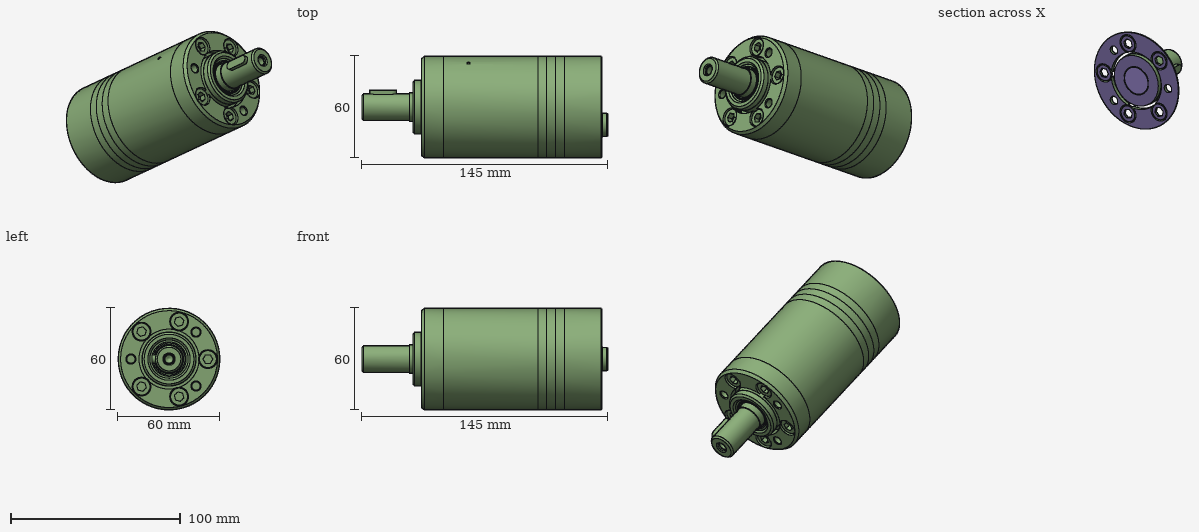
import cadquery as cq
import math


shaft_tip = 0.0
shaft_step_x = 28.0
collar_x = 30.0
face_x = 35.0
housing_x = 48.2
plates_x = 103.7
plate_thickness = 5.2
plate_count = 3
end_cover_x = plates_x + plate_count * plate_thickness
end_face_x = 141.4
total_length = 145.0

casing_dia = 60.0
casing_radius = casing_dia / 2
front_chamfer_length = 1.9
front_chamfer_height = 1.5
rear_chamfer = 0.6

collar_radius = 16.0
collar_chamfer_length = 1.0
collar_chamfer_height = 1.3
neck_radius = 15.8
neck_length = 0.3
groove_radius = 17.7
groove_depth = 5.0

seal_mouth_dia = 25.0
seal_seat_dia = 22.6
seal_mouth_depth = 0.9
seal_seat_depth = 1.2
seal_lip_dia = 20.3
seal_lip_depth = 1.7
dust_lip_dia = 18.9
dust_lip_depth = 2.2
shaft_bore_dia = 17.3

shaft_dia = 16.0
shaft_seal_dia = 17.0
shaft_chamfer = 1.0
key_start = 4.5
key_length = 16.0
key_width = 5.0
key_top = 10.0
key_height = 5.0
centre_mouth_dia = 7.3
centre_relief_dia = 6.0
centre_dia = 5.0
centre_relief_depth = 1.7
centre_depth = 11.6
centre_point_depth = 1.5

screw_angles = (-135, -75, 0, 75, 135)
screw_pitch_radius = 22.9
counterbore_dia = 11.0
counterbore_depth = 6.0
head_dia = 10.0
head_recess = 1.0
socket_across_corners = 5.8
socket_depth = 3.8

mount_angles = (-45, 45, 180)
mount_pitch_radius = 22.5
mount_dia = 5.0
mount_mouth_dia = 6.0

pin_hole_dia = 2.0
pin_hole_x = 62.8
pin_hole_tilt = 60
pin_hole_depth = 2.9

plug_y = -10.5
plug_dia = 13.8
plug_base_dia = 15.0
plug_base_length = 0.5
plug_tip_dia = 13.0
plug_tip_length = 0.9


def turned(points):
    """Solid of revolution about X from (x, radius) points."""
    return cq.Workplane("XY").polyline(points).close().revolve(360, (0, 0, 0), (1, 0, 0))


def rod(dia, start, end):
    """Plain cylinder on the X axis."""
    return cq.Workplane("YZ").workplane(offset=start).circle(dia / 2).extrude(end - start)


def around(shape, pitch_radius, angles):
    """Copies of a shape moved out from the X axis, at angles from -Y toward +Z."""
    moved = shape.translate((0, -pitch_radius, 0))
    return [moved.rotate((0, 0, 0), (1, 0, 0), -angle) for angle in angles]


def make_shaft():
    tip_radius = shaft_dia / 2 - shaft_chamfer
    shaft = turned([
        (shaft_tip, 0),
        (shaft_tip, tip_radius),
        (shaft_tip + shaft_chamfer, shaft_dia / 2),
        (shaft_step_x, shaft_dia / 2),
        (shaft_step_x, shaft_seal_dia / 2),
        (housing_x, shaft_seal_dia / 2),
        (housing_x, 0),
    ])
    key = (
        cq.Workplane("XZ", origin=(key_start + key_length / 2, key_top, 0))
        .slot2D(key_length, key_width)
        .extrude(key_height)
    )
    mouth_depth = (centre_mouth_dia - centre_relief_dia) / 2
    centre_hole = turned([
        (shaft_tip, 0),
        (shaft_tip, centre_mouth_dia / 2),
        (shaft_tip + mouth_depth, centre_relief_dia / 2),
        (shaft_tip + centre_relief_depth, centre_relief_dia / 2),
        (shaft_tip + centre_relief_depth, centre_dia / 2),
        (shaft_tip + centre_depth, centre_dia / 2),
        (shaft_tip + centre_depth + centre_point_depth, 0),
    ])
    return shaft.union(key).cut(centre_hole)


def make_cover_blank():
    groove_floor_x = face_x + groove_depth
    neck_x = face_x - neck_length
    return turned([
        (collar_x, 0),
        (collar_x, collar_radius - collar_chamfer_height),
        (collar_x + collar_chamfer_length, collar_radius),
        (neck_x, collar_radius),
        (neck_x, neck_radius),
        (groove_floor_x, neck_radius),
        (groove_floor_x, groove_radius),
        (face_x, groove_radius),
        (face_x, casing_radius - front_chamfer_height),
        (face_x + front_chamfer_length, casing_radius),
        (housing_x, casing_radius),
        (housing_x, 0),
    ])


def make_seal_bore():
    mouth_end = collar_x + seal_mouth_depth
    seat_end = collar_x + seal_seat_depth
    lip_end = collar_x + seal_lip_depth
    dust_lip_end = collar_x + dust_lip_depth
    return turned([
        (collar_x, 0),
        (collar_x, seal_mouth_dia / 2),
        (mouth_end, seal_seat_dia / 2),
        (seat_end, seal_seat_dia / 2),
        (seat_end, seal_lip_dia / 2),
        (lip_end, seal_lip_dia / 2),
        (lip_end, dust_lip_dia / 2),
        (dust_lip_end, dust_lip_dia / 2),
        (dust_lip_end, shaft_bore_dia / 2),
        (housing_x, shaft_bore_dia / 2),
        (housing_x, 0),
    ])


def make_screw_clearance():
    """The space left around a screw head: counterbore less head, plus hex socket."""
    head_x = face_x + head_recess
    floor_x = face_x + counterbore_depth
    socket = (
        cq.Workplane("YZ").workplane(offset=head_x)
        .polygon(6, socket_across_corners).extrude(socket_depth)
    )
    counterbore = rod(counterbore_dia, face_x, floor_x)
    head = rod(head_dia, head_x, floor_x)
    return counterbore.cut(head.cut(socket))


def make_mount_hole():
    mouth_depth = (mount_mouth_dia - mount_dia) / 2
    return turned([
        (face_x, 0),
        (face_x, mount_mouth_dia / 2),
        (face_x + mouth_depth, mount_dia / 2),
        (housing_x, mount_dia / 2),
        (housing_x, 0),
    ])


def make_front_cover():
    cover = make_cover_blank().cut(make_seal_bore())
    for clearance in around(make_screw_clearance(), screw_pitch_radius, screw_angles):
        cover = cover.cut(clearance)
    for hole in around(make_mount_hole(), mount_pitch_radius, mount_angles):
        cover = cover.cut(hole)
    return cover


def make_housing():
    tilt = math.radians(pin_hole_tilt)
    outward = cq.Vector(0, math.sin(tilt), math.cos(tilt))
    hole_floor = cq.Vector(pin_hole_x, 0, 0) + outward * (casing_radius - pin_hole_depth)
    pin_hole = cq.Solid.makeCylinder(pin_hole_dia / 2, 2 * pin_hole_depth, hole_floor, outward)
    return rod(casing_dia, housing_x, plates_x).cut(cq.Workplane(pin_hole))


def make_plate(index):
    start = plates_x + index * plate_thickness
    return rod(casing_dia, start, start + plate_thickness)


def make_end_cover():
    cover = rod(casing_dia, end_cover_x, end_face_x).faces(">X").chamfer(rear_chamfer)
    plug = turned([
        (end_face_x, 0),
        (end_face_x, plug_base_dia / 2),
        (end_face_x + plug_base_length, plug_dia / 2),
        (total_length - plug_tip_length, plug_dia / 2),
        (total_length, plug_tip_dia / 2),
        (total_length, 0),
    ])
    return cover.union(plug.translate((0, plug_y, 0)))


shaft = make_shaft()
front_cover = make_front_cover()
housing = make_housing()
plates = [make_plate(index) for index in range(plate_count)]
end_cover = make_end_cover()

result = cq.Compound.makeCompound([
    shaft.val(),
    front_cover.val(),
    housing.val(),
    *[plate.val() for plate in plates],
    end_cover.val(),
])